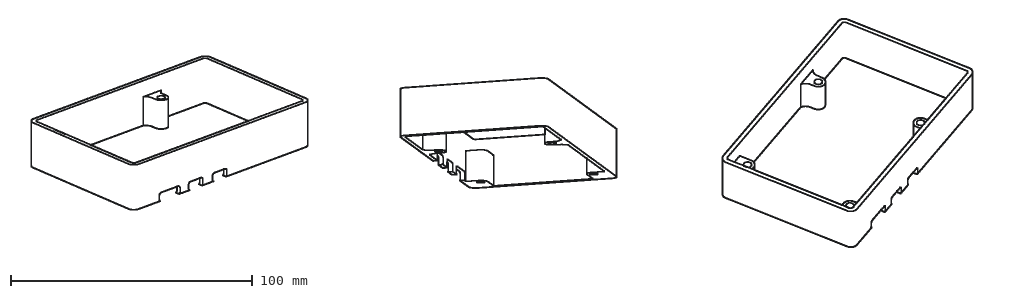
import cadquery as cq

width = 64.0
length = 100.0
height = 20.3
wall = 2.0
corner_radius = 3.0
inner_width = width - 2 * wall
inner_length = length - 2 * wall
inner_wall_x = inner_width / 2

post_height = 13.0
post_radius = 3.0
screw_diameter = 3.3
hole_x = 24.5
corner_hole_y = -40.0
hole_pitch_y = 58.0
middle_hole_y = corner_hole_y + hole_pitch_y
flare_radius = 4.0
flare_length = 3.5
flare_rise = flare_radius - (flare_radius**2 - flare_length**2) ** 0.5

notch_height = 3.7
notch_corner_radius = 1.0
notch_overrun = 0.15
small_notch_width = 8.0
large_notch_width = 11.6
large_notch_y = -29.5
first_small_notch_y = -14.8
small_notch_pitch = 13.5
notches = [
    (large_notch_y, large_notch_width),
    (first_small_notch_y, small_notch_width),
    (first_small_notch_y + small_notch_pitch, small_notch_width),
]


def rounded_block(size_x, size_y, radius):
    block = cq.Workplane("XY").box(size_x, size_y, height, centered=(True, True, False))
    return block.edges("|Z").fillet(radius)


def middle_post():
    """Round post joined to the +X wall by a web that flares out at the wall."""
    root_x = inner_wall_x + wall / 2
    web_end_x = inner_wall_x - flare_length
    post = cq.Workplane("XY").moveTo(hole_x, middle_hole_y + post_radius)
    post = post.lineTo(web_end_x, middle_hole_y + post_radius)
    post = post.tangentArcPoint((inner_wall_x, middle_hole_y + post_radius + flare_rise), relative=False)
    post = post.lineTo(root_x, middle_hole_y + post_radius + flare_rise)
    post = post.lineTo(root_x, middle_hole_y - post_radius - flare_rise)
    post = post.lineTo(inner_wall_x, middle_hole_y - post_radius - flare_rise)
    post = post.radiusArc((web_end_x, middle_hole_y - post_radius), -flare_radius)
    post = post.lineTo(hole_x, middle_hole_y - post_radius)
    post = post.threePointArc((hole_x - post_radius, middle_hole_y), (hole_x, middle_hole_y + post_radius))
    return post.close().extrude(post_height)


def corner_post():
    """Block filling the inside corner, with its free corner rounded about the hole."""
    left = hole_x - post_radius
    back = corner_hole_y + post_radius
    right = inner_wall_x + wall / 2
    front = -inner_length / 2 - wall / 2
    block = cq.Workplane("XY").box(right - left, back - front, post_height, centered=False)
    block = block.translate((left, front, 0))
    return block.edges("|Z and <X and >Y").fillet(post_radius)


def notch(centre_y, notch_width):
    """Rounded rectangle through the wall; its lower corners narrow the mouth slightly."""
    cutter_height = notch_height + notch_overrun
    cutter = cq.Workplane("XY").box(wall, notch_width, cutter_height, centered=(False, True, False))
    cutter = cutter.edges("|X").fillet(notch_corner_radius)
    return cutter.translate((inner_wall_x, centre_y, -notch_overrun))


frame = rounded_block(width, length, corner_radius)
frame = frame.cut(rounded_block(inner_width, inner_length, corner_radius - wall))

for post in (middle_post(), corner_post()):
    frame = frame.union(post).union(post.mirror("YZ"))

hole_centres = [(side * hole_x, y) for side in (-1, 1) for y in (corner_hole_y, middle_hole_y)]
screw_holes = cq.Workplane("XY").pushPoints(hole_centres).circle(screw_diameter / 2).extrude(post_height)
frame = frame.cut(screw_holes)

for centre_y, notch_width in notches:
    frame = frame.cut(notch(centre_y, notch_width))

result = frame